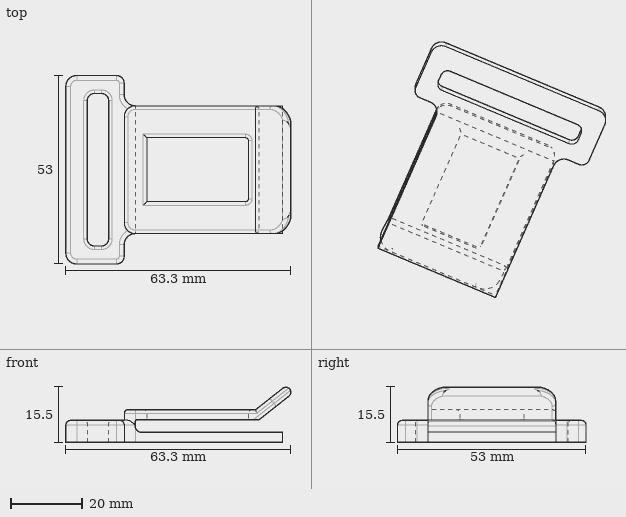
import cadquery as cq
import math

bar_length = 16.45
bar_width = 53.0
base_height = 6.2
bar_outer_radius = 3.1
bar_inner_radius = 2.2
base_edge_round = 1.4

slot_center_x = 9.05
slot_length = 42.8
slot_width = 5.95
slot_corner_radius = 1.95
slot_rim_round = 1.0

clip_width = 35.95
neck_radius = 3.1
plate_end_x = 60.95
plate_thickness = 2.85
gap_start_x = bar_length + neck_radius
gap_lower_radius = 1.7
gap_upper_radius = 0.5
arm_top = 9.2
arm_thickness = 2.85
arm_bottom = arm_top - arm_thickness
arm_corner_radius = 3.1
arm_edge_round = 1.0

lip_start_x = 53.35
lip_angle = 38.3
lip_length = 11.15
lip_corner_radius = 6.0

window_start_x = 22.8
window_end_x = 51.3
window_width = 18.0
window_corner_radius = 0.8
window_rim_round = 1.0

lip_cos = math.cos(math.radians(lip_angle))
lip_sin = math.sin(math.radians(lip_angle))
lip_tip_radius = arm_thickness / 2
lip_overlap = 2 * arm_thickness

half_bend_tangent = math.tan(math.radians(lip_angle / 2))
underside_bend_x = lip_start_x + arm_thickness * half_bend_tangent
seam_top = (lip_start_x, arm_top)
seam_middle = (lip_start_x + arm_edge_round * half_bend_tangent, arm_top - arm_edge_round)
seam_bottom = (underside_bend_x - arm_edge_round / lip_sin, arm_bottom)


def lip_point(along, depth):
    """XZ point a distance along the lip top from the bend and a depth below it."""
    return (
        lip_start_x + along * lip_cos + depth * lip_sin,
        arm_top + along * lip_sin - depth * lip_cos,
    )


def centered_block(start_x, end_x, width, bottom, top):
    """Block symmetric about the XZ plane."""
    return (
        cq.Workplane("XY", origin=((start_x + end_x) / 2, 0, bottom))
        .rect(end_x - start_x, width)
        .extrude(top - bottom)
    )


def make_base():
    """Strap bar with a short neck, filleted into the clip sides."""
    bar = centered_block(0, bar_length, bar_width, 0, base_height)
    bar = bar.edges("|Z and <X").fillet(bar_outer_radius)
    bar = bar.edges("|Z and >X").fillet(bar_inner_radius)
    neck = centered_block(slot_center_x, plate_end_x, clip_width, 0, base_height)
    neck_corners = cq.selectors.BoxSelector(
        (bar_length - 0.65, -clip_width / 2 - 0.65, 0),
        (bar_length + 0.65, clip_width / 2 + 0.65, base_height),
    )
    base = bar.union(neck).edges("|Z").edges(neck_corners).fillet(neck_radius)
    base = base.faces(">Z").edges("not(>X)").fillet(base_edge_round)
    beyond_neck = centered_block(gap_start_x, plate_end_x, bar_width, plate_thickness, base_height)
    return base.cut(beyond_neck)


def make_arm():
    """Flat arm on a full-height root, bent upward into the lip."""
    arm = centered_block(bar_length, underside_bend_x, clip_width, plate_thickness, arm_top)
    arm = arm.edges("|Z and <X").fillet(arm_corner_radius)
    arm = arm.faces(">Z").edges("not(>X)").fillet(arm_edge_round)
    beyond_seam = (
        cq.Workplane("XZ")
        .polyline([seam_top, seam_middle, seam_bottom, (plate_end_x, arm_bottom), (plate_end_x, arm_top)])
        .close()
        .extrude(clip_width / 2, both=True)
    )
    return arm.cut(beyond_seam)


def make_lip():
    """Sloping lip with rounded corners and edges and a fully round tip."""
    slab_plane = cq.Plane(
        origin=(lip_start_x, 0, arm_top), xDir=(lip_cos, 0, lip_sin), normal=(-lip_sin, 0, lip_cos)
    )
    slab = (
        cq.Workplane(slab_plane)
        .center((lip_length - lip_overlap) / 2, 0)
        .rect(lip_length + lip_overlap, clip_width)
        .extrude(-arm_thickness)
    )
    tip_side = cq.selectors.DirectionMinMaxSelector(slab_plane.xDir, True)
    across_lip = cq.selectors.ParallelDirSelector(slab_plane.zDir)
    slab = slab.edges(across_lip).edges(tip_side).fillet(lip_corner_radius)
    root_side = cq.selectors.DirectionMinMaxSelector(slab_plane.xDir, False)
    slab = slab.faces(across_lip).edges(cq.selectors.InverseSelector(root_side)).fillet(arm_edge_round)

    tip_start = lip_length - lip_tip_radius
    side_profile = (
        cq.Workplane("XZ")
        .polyline([seam_top, seam_middle, seam_bottom, (underside_bend_x, arm_bottom)])
        .lineTo(*lip_point(tip_start, arm_thickness))
        .threePointArc(lip_point(lip_length, lip_tip_radius), lip_point(tip_start, 0))
        .close()
        .extrude(clip_width / 2, both=True)
    )
    return slab.intersect(side_profile)


def make_gap():
    """Gap between plate and arm, with rounded inner corners."""
    gap = centered_block(gap_start_x, plate_end_x, clip_width + 0.65, plate_thickness, arm_bottom)
    gap = gap.edges("|Y and <X and <Z").fillet(gap_lower_radius)
    return gap.edges("|Y and <X and >Z").fillet(gap_upper_radius)


def cut_with_round_rim(body, cutter, top, rim_round):
    """Cut an opening and round the convex rim where it meets the top surface."""
    body = body.cut(cutter)
    box = cutter.val().BoundingBox()
    rim = cq.selectors.BoxSelector(
        (box.xmin - 0.05, box.ymin - 0.05, top - 0.05),
        (box.xmax + 0.05, box.ymax + 0.05, top + 0.05),
    )
    return body.edges(rim).fillet(rim_round)


slot = (
    centered_block(
        slot_center_x - slot_width / 2, slot_center_x + slot_width / 2, slot_length, 0, base_height
    )
    .edges("|Z")
    .fillet(slot_corner_radius)
)
window = (
    centered_block(window_start_x, window_end_x, window_width, arm_bottom, arm_top)
    .edges("|Z and >X")
    .fillet(window_corner_radius)
)

base = cut_with_round_rim(make_base(), slot, base_height, slot_rim_round)
arm = cut_with_round_rim(make_arm().cut(make_gap()), window, arm_top, window_rim_round)
result = base.union(arm).union(make_lip())